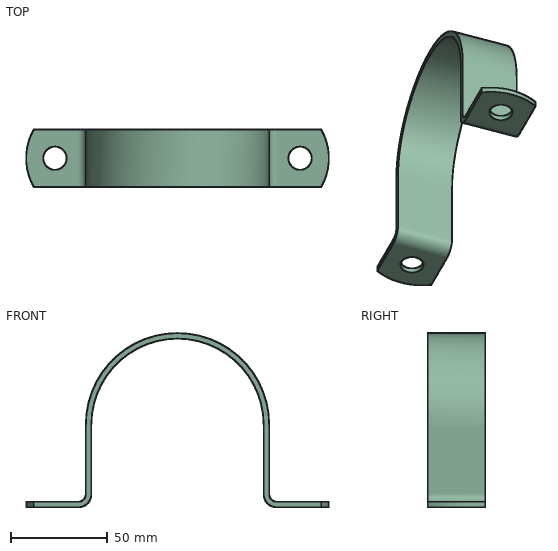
import cadquery as cq
import math

length = 157.0
width = 30.0
height = 90.5
thickness = 3.0
outer_radius = 47.5
bend_radius = 4.0
hole_diameter = 12.0
tip_radius = width

half_length = length / 2
half_width = width / 2
inner_radius = outer_radius - thickness
arch_z = height - outer_radius
outer_bend_radius = bend_radius + thickness
bend_x = outer_radius + bend_radius
bend_z = outer_bend_radius
hole_x = half_length - width / 2
tip_depth = tip_radius - math.sqrt(tip_radius**2 - half_width**2)
corner_x = half_length - tip_depth


def bend_point(side, radius):
    """Middle of a quarter bend, on the arc of the given radius."""
    offset = radius * math.sqrt(0.5)
    return (side * (bend_x - offset), bend_z - offset)


def strap():
    """Bent strip: foot, leg, arch, leg, foot, extruded symmetrically in Y."""
    return (
        cq.Workplane("XZ")
        .moveTo(-half_length, 0)
        .lineTo(-bend_x, 0)
        .threePointArc(bend_point(-1, outer_bend_radius), (-inner_radius, bend_z))
        .lineTo(-inner_radius, arch_z)
        .threePointArc((0, height - thickness), (inner_radius, arch_z))
        .lineTo(inner_radius, bend_z)
        .threePointArc(bend_point(1, outer_bend_radius), (bend_x, 0))
        .lineTo(half_length, 0)
        .lineTo(half_length, thickness)
        .lineTo(bend_x, thickness)
        .threePointArc(bend_point(1, bend_radius), (outer_radius, bend_z))
        .lineTo(outer_radius, arch_z)
        .threePointArc((0, height), (-outer_radius, arch_z))
        .lineTo(-outer_radius, bend_z)
        .threePointArc(bend_point(-1, bend_radius), (-bend_x, thickness))
        .lineTo(-half_length, thickness)
        .close()
        .extrude(half_width, both=True)
    )


def plan_outline():
    """Full-height block with the rounded foot ends, used to trim the strap."""
    return (
        cq.Workplane("XY")
        .moveTo(-corner_x, -half_width)
        .lineTo(corner_x, -half_width)
        .threePointArc((half_length, 0), (corner_x, half_width))
        .lineTo(-corner_x, half_width)
        .threePointArc((-half_length, 0), (-corner_x, -half_width))
        .close()
        .extrude(height)
    )


def foot_holes():
    """Cutters for the fixing hole through each foot."""
    return (
        cq.Workplane("XY")
        .pushPoints([(-hole_x, 0), (hole_x, 0)])
        .circle(hole_diameter / 2)
        .extrude(thickness)
    )


result = strap().intersect(plan_outline()).cut(foot_holes())